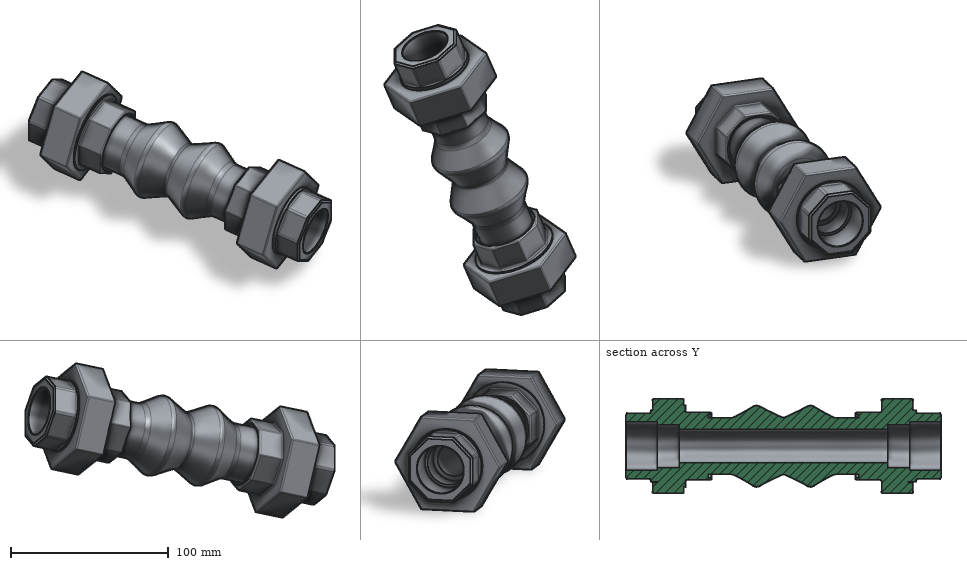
import cadquery as cq
import math


length = 200.0
bore_diameter = 21.0

hose_diameter = 36.0
bulge_diameter = 52.0
bulge_offset = 17.2
bellows_half_length = 32.0
bulge_rounding = 3.6
waist_rounding = 2.2
shoulder_rounding = 7.2
crest_overshoot = 0.4
waist_undershoot = 0.1

nut_flats = 60.0
nut_width = 20.0
nut_rounding = 1.0
left_nut_start = 17.0
right_nut_start = 18.0
nut_bore_diameter = 46.0
nut_gap_depth = 3.0

end_length = 16.0
end_flats = 42.0
end_corner_rounding = 2.5
end_chamfer_inset = 1.5
end_chamfer_length = end_chamfer_inset * math.tan(math.radians(30))
end_collar_diameter = 45.5
collar_joint = 34.0

tail_start = 38.0
tail_end = 54.5
tail_flats = 43.0
tail_rounding = 1.0
tail_collar_diameter = 52.0
tail_recess_diameter = 40.0
tail_recess_depth = 2.0

root_rounding = 1.0

socket_diameter = 30.29
socket_depth = 20.0
socket_mouth_chamfer = 0.35
step_diameter = 27.0
step_depth = collar_joint


def disc(start, end, diameter):
    """Cylinder on the X axis from start to end."""
    return cq.Workplane("YZ").workplane(offset=start).circle(diameter / 2).extrude(end - start)


def prism(start, end, sides, flats):
    """Regular prism on the X axis with flat faces at +Z and -Z."""
    corner_diameter = flats / math.cos(math.pi / sides)
    turn = 180 / sides if sides % 4 == 0 else 0
    body = cq.Workplane("YZ").polygon(sides, corner_diameter).extrude(end - start)
    return body.rotate((0, 0, 0), (1, 0, 0), turn).translate((start, 0, 0))


def edges_at(x, reach):
    """Selector for edges lying in the plane at x, no further than reach from the axis."""
    margin = 0.1
    near_corner = (x - margin, -reach, -reach)
    far_corner = (x + margin, reach, reach)
    return cq.selectors.BoxSelector(near_corner, far_corner, boundingbox=True)


def mirror_ends(shape):
    return shape.mirror("YZ", (length / 2, 0, 0))


def make_bellows():
    """Hose with two rounded bulges, running between the two tail collars."""
    middle = length / 2
    hose_radius = hose_diameter / 2
    crest_radius = bulge_diameter / 2 + crest_overshoot
    waist_radius = hose_radius - waist_undershoot
    shoulders = (middle - bellows_half_length, middle + bellows_half_length)
    crests = (middle - bulge_offset, middle + bulge_offset)
    outline = [
        (tail_start, 0),
        (tail_start, hose_radius),
        (shoulders[0], hose_radius),
        (crests[0], crest_radius),
        (middle, waist_radius),
        (crests[1], crest_radius),
        (shoulders[1], hose_radius),
        (length - tail_start, hose_radius),
        (length - tail_start, 0),
    ]
    body = cq.Workplane("XY").polyline(outline).close().revolve(360, (0, 0, 0), (1, 0, 0))
    roundings = [(x, shoulder_rounding) for x in shoulders]
    roundings += [(x, bulge_rounding) for x in crests]
    roundings.append((middle, waist_rounding))
    for x, rounding in roundings:
        body = body.edges(edges_at(x, bulge_diameter)).fillet(rounding)
    return body


def octagon_on_collar(octagon_length, flats, corner_rounding, collar_diameter, collar_length):
    """Octagon starting at X = 0 with a blend at its root, standing on a round collar."""
    total_length = octagon_length + collar_length
    octagon = prism(0, octagon_length, 8, flats).edges("|X").fillet(corner_rounding)
    plate_diameter = 2 * collar_diameter
    body = octagon.union(disc(octagon_length, total_length, plate_diameter))
    body = body.edges(edges_at(octagon_length, flats)).fillet(root_rounding)
    return body.intersect(disc(0, total_length, collar_diameter))


def make_end_piece():
    """Octagonal end piece with its open end at X = 0."""
    body = octagon_on_collar(
        end_length, end_flats, end_corner_rounding, end_collar_diameter, collar_joint - end_length
    )
    return body.faces("<X").edges().chamfer(end_chamfer_length, end_chamfer_inset)


def make_tail():
    """Octagonal hose tail, with its collar on the side of the open end."""
    body = octagon_on_collar(
        tail_end - tail_start, tail_flats, tail_rounding, tail_collar_diameter, tail_start - collar_joint
    )
    body = body.faces("<X").edges().fillet(tail_rounding)
    body = body.cut(disc(0, tail_recess_depth, tail_recess_diameter))
    return body.mirror("YZ").translate((tail_end, 0, 0))


def make_nut(start):
    """Rounded hexagon nut with a narrow clearance around the end collar."""
    nut = prism(start, start + nut_width, 6, nut_flats).edges().fillet(nut_rounding)
    return nut.cut(disc(start, start + nut_gap_depth, nut_bore_diameter))


def make_fitting(nut_start):
    """End piece, union nut and hose tail of one end, opening at X = 0."""
    return make_nut(nut_start).union(make_end_piece()).union(make_tail())


def make_socket():
    """Stepped hollow of one end, opening at X = 0."""
    mouth_radius = socket_diameter / 2 + socket_mouth_chamfer
    mouth = cq.Solid.makeCone(
        mouth_radius, socket_diameter / 2, socket_mouth_chamfer, cq.Vector(0, 0, 0), cq.Vector(1, 0, 0)
    )
    return disc(0, socket_depth, socket_diameter).union(disc(0, step_depth, step_diameter)).union(mouth)


left_fitting = make_fitting(left_nut_start)
right_fitting = mirror_ends(make_fitting(right_nut_start))
left_socket = make_socket()
right_socket = mirror_ends(left_socket)

body = make_bellows().union(left_fitting).union(right_fitting)
body = body.cut(left_socket).cut(right_socket).cut(disc(0, length, bore_diameter))
result = body.translate((-length / 2, 0, 0))